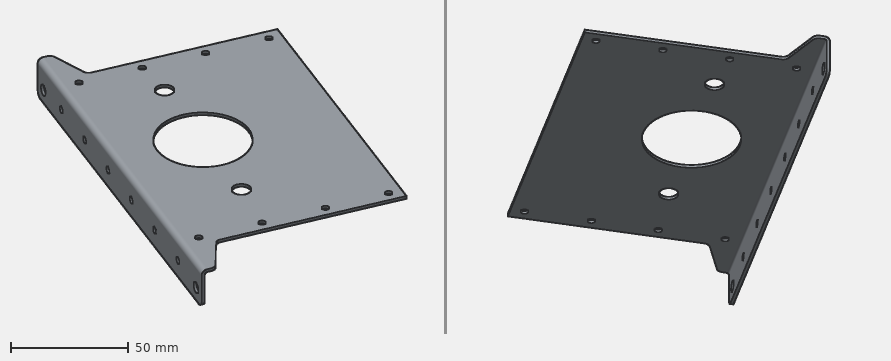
import cadquery as cq

length = 179.2
depth = 103.2
height = 19.0
thickness = 1.5
bend_outer_radius = 2.7
bend_inner_radius = bend_outer_radius - thickness

plate_width = 141.0
ear_side_depth = 6.5
flare_end_depth = 14.9
corner_radius = 3.0

small_hole_diameter = 3.2
side_hole_x = 65.4
side_hole_first_y = 9.0
side_hole_pitch = 29.4
side_hole_count = 4

opening_diameter = 42.5
opening_x = -3.8
opening_y = 40.3
flank_hole_diameter = 8.5
flank_hole_offset = 42.0

flange_hole_pitch = 25.5
flange_hole_count = 6
flange_hole_z = -10.5
mount_hole_diameter = 5.0
mount_hole_x = 83.3
mount_hole_z = -12.5


def bent_sheet():
    """L-shaped sheet across the full length; outer bend corner at Y = Z = 0."""
    sheet = (
        cq.Workplane("YZ")
        .polyline([
            (0, 0),
            (depth, 0),
            (depth, -thickness),
            (thickness, -thickness),
            (thickness, -height),
            (0, -height),
        ])
        .close()
        .extrude(length / 2, both=True)
    )
    outer_corner = cq.selectors.NearestToPointSelector((0, 0, 0))
    inner_corner = cq.selectors.NearestToPointSelector((0, thickness, -thickness))
    sheet = sheet.edges("|X").edges(inner_corner).fillet(bend_inner_radius)
    return sheet.edges("|X").edges(outer_corner).fillet(bend_outer_radius)


def plate_profile():
    """Prism that trims the plate to its flared outline."""
    half_length = length / 2
    half_plate = plate_width / 2
    prism = (
        cq.Workplane("XY")
        .polyline([
            (-half_length, 0),
            (half_length, 0),
            (half_length, ear_side_depth),
            (half_plate, flare_end_depth),
            (half_plate, depth),
            (-half_plate, depth),
            (-half_plate, flare_end_depth),
            (-half_length, ear_side_depth),
        ])
        .close()
        .extrude(-height)
    )
    for side in (-1, 1):
        for x, y in ((half_length, ear_side_depth), (half_plate, flare_end_depth)):
            corner = cq.selectors.NearestToPointSelector((side * x, y, -height / 2))
            prism = prism.edges("|Z").edges(corner).fillet(corner_radius)
    return prism


def plate_holes(points, diameter):
    """Vertical cutters through the plate."""
    return cq.Workplane("XY").pushPoints(points).circle(diameter / 2).extrude(-height)


def flange_holes(points, diameter):
    """Cutters through the flange along Y."""
    return (
        cq.Workplane("XZ")
        .pushPoints(points)
        .circle(diameter / 2)
        .extrude(thickness, both=True)
    )


side_points = [
    (side * side_hole_x, side_hole_first_y + row * side_hole_pitch)
    for side in (-1, 1)
    for row in range(side_hole_count)
]
flank_points = [(side * flank_hole_offset + opening_x, opening_y) for side in (-1, 1)]
flange_points = [
    ((index - (flange_hole_count - 1) / 2) * flange_hole_pitch, flange_hole_z)
    for index in range(flange_hole_count)
]
mount_points = [(side * mount_hole_x, mount_hole_z) for side in (-1, 1)]

result = bent_sheet().intersect(plate_profile())

result = result.edges("|Y").edges("<Z").fillet(corner_radius)

result = (
    result
    .cut(plate_holes(side_points, small_hole_diameter))
    .cut(plate_holes([(opening_x, opening_y)], opening_diameter))
    .cut(plate_holes(flank_points, flank_hole_diameter))
    .cut(flange_holes(flange_points, small_hole_diameter))
    .cut(flange_holes(mount_points, mount_hole_diameter))
)